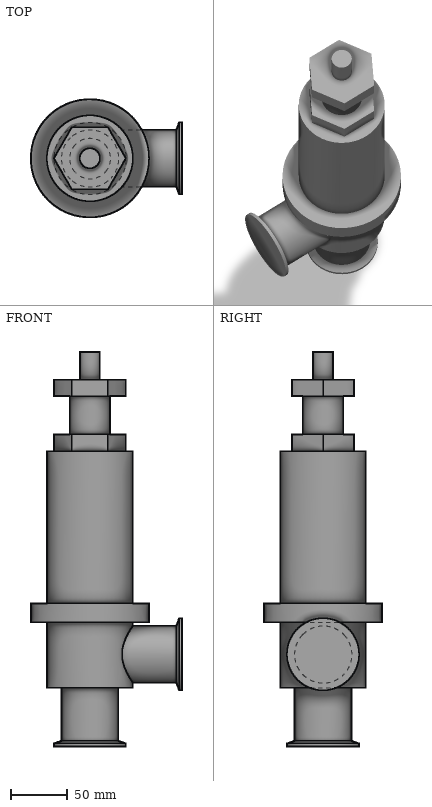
import cadquery as cq
import math

total_height = 350.0
body_bottom = 52.0
collar_bottom = 110.2
collar_top = 127.0
body_top = 262.0
upper_nut_bottom = 310.8
nut_height = 14.7

body_diameter = 76.3
collar_diameter = 105.0
neck_diameter = 36.0
stem_diameter = 18.0

nut_across_flats = 55.3
nut_across_corners = nut_across_flats / math.cos(math.pi / 6)

pipe_diameter = 50.8
ferrule_diameter = 64.0
ferrule_rim = 2.8
ferrule_slope = math.radians(20)

outlet_height = 82.0
outlet_reach = 82.0


def cylinder(diameter, bottom, top):
    """Vertical cylinder on the valve axis between two heights."""
    return cq.Workplane("XY").workplane(offset=bottom).circle(diameter / 2).extrude(top - bottom)


def hex_nut(bottom):
    """Hexagonal nut on the valve axis."""
    return cq.Workplane("XY").workplane(offset=bottom).polygon(6, nut_across_corners).extrude(nut_height)


def ferruled_pipe(length):
    """Pipe rising from Z = 0, with a slope-backed clamp ferrule at its lower end."""
    pipe_radius = pipe_diameter / 2
    rim_radius = ferrule_diameter / 2
    slope_top = ferrule_rim + (rim_radius - pipe_radius) * math.tan(ferrule_slope)

    return (
        cq.Workplane("XZ")
        .lineTo(rim_radius, 0)
        .lineTo(rim_radius, ferrule_rim)
        .lineTo(pipe_radius, slope_top)
        .lineTo(pipe_radius, length)
        .lineTo(0, length)
        .close()
        .revolve(360, (0, 0, 0), (0, 1, 0))
    )


body = cylinder(body_diameter, body_bottom, body_top)
collar = cylinder(collar_diameter, collar_bottom, collar_top)
neck = cylinder(neck_diameter, body_top, upper_nut_bottom)
stem = cylinder(stem_diameter, upper_nut_bottom, total_height)
inlet = ferruled_pipe(body_bottom)

outlet = (
    ferruled_pipe(outlet_reach)
    .rotate((0, 0, 0), (0, 1, 0), -90)
    .translate((outlet_reach, 0, outlet_height))
)

result = body.union(collar).union(inlet).union(outlet).union(neck).union(stem)
for nut_bottom in (body_top, upper_nut_bottom):
    result = result.union(hex_nut(nut_bottom))